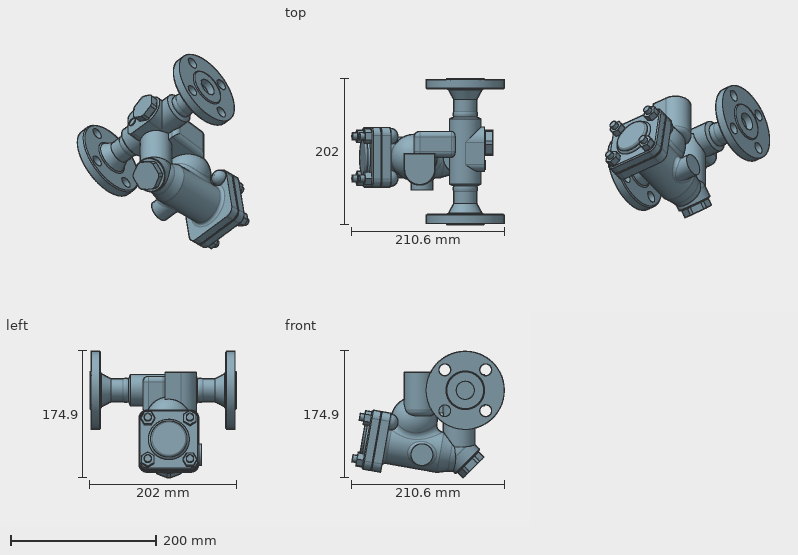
import cadquery as cq

tee_dia = 44.0
tee_half_length = 47.5
tee_end_chamfer = 2.7
neck_dia = 32.0
bead_dia = 33.7
bead_end = 55.4
neck_end = 71.5
cone_dia = 45.9
cone_end = 84.5
cone_root_dia = 50.0
flange_dia = 108.0
flange_back = 86.0
flange_front = 99.3
flange_edge_chamfer = 1.7
face_dia = 53.2
face_front = 101.0
face_chamfer = 1.3
bore_dia = 25.0
bore_depth = 10.5
flange_hole_dia = 16.0
flange_hole_offset = 28.2

side_boss_end = 26.7
side_boss_y = 12.2
side_boss_low_y = -27.8
side_boss_round = 9.7
pin_dia = 12.0
pin_y = -18.5
pin_height = 1.3

side_plug_dia = 38.0
strainer_plug_dia = 40.8
flats_per_dia = 0.92
plug_height = 10.3
plug_gap = 1.0
plug_neck_dia = 32.0

trap_y = -8.0
tilt = 10.0
gasket_x = -122.5
gasket_z = -70.0
gasket_thickness = 1.5
plate_size = 83.0
plate_thickness = 12.5
plate_corner_radius = 11.5
plate_edge_chamfer = 1.7
gasket_inset = 1.7
body_dia = 56.5
body_length = 89.5
body_root_dia = 65.2
body_root_length = 4.5
elbow_dia = 48.0
elbow_along = 103.8
bolt_offset = 29.0
lug_dia = 22.3
lug_end = 24.8
lug_round = 10.5
stud_dia = 10.0
stud_end = 28.6
nut_height = 9.0
nut_across_corners = 19.8
cap_dia = 50.7
cap_root_round = 3.0
cap_edge_round = 2.0
cap_height = 6.5

cover_face = -gasket_thickness / 2 - plate_thickness
flange_rear = -cover_face

dome_x = -70.5
dome_z = -41.0
dome_radius = 32.0
dome_root_round = 9.5

block_x = -63.0
block_dia = 43.0
block_round_y = -24.8
block_back_y = -2.5
block_top = 25.0
block_bottom = -35.8
block_bottom_round = 8.5
block_top_chamfer = 0.8
duct_top = 19.4
duct_bottom = -31.5
duct_end_x = -11.4
duct_back_y = 28.0
duct_edge_round = 7.8

spigot_x = -59.8
spigot_z = -88.8
spigot_dia = 30.0
spigot_end_y = -53.0
spigot_root_round = 5.0

down_pipe_x = -8.5
elbow_z = -86.7
branch_angle = 45.0
branch_dia = 47.4
branch_length = 16.6
branch_chamfer = 0.8


def along_y(shape_on_xy):
    """Turn a shape built up +Z so that it points along +Y."""
    return shape_on_xy.rotate((0, 0, 0), (1, 0, 0), -90)


def pipe_end():
    """One end of the main pipe: half tee, bead, neck, cone, flange and raised face."""
    profile = (
        cq.Workplane("XY")
        .polyline([(0, 0), (tee_dia / 2, 0), (tee_dia / 2, tee_half_length - tee_end_chamfer)])
        .lineTo(neck_dia / 2, tee_half_length)
        .threePointArc((bead_dia / 2, (tee_half_length + bead_end) / 2), (neck_dia / 2, bead_end))
        .lineTo(neck_dia / 2, neck_end)
        .lineTo(cone_dia / 2, cone_end)
        .lineTo(cone_root_dia / 2, flange_back)
        .lineTo(flange_dia / 2 - flange_edge_chamfer, flange_back)
        .lineTo(flange_dia / 2, flange_back + flange_edge_chamfer)
        .lineTo(flange_dia / 2, flange_front)
        .lineTo(face_dia / 2, flange_front)
        .lineTo(face_dia / 2 - face_chamfer, face_front)
        .lineTo(0, face_front)
        .close()
    )
    end = profile.revolve(360, (0, 0, 0), (0, 1, 0))
    bolt_holes = (
        cq.Workplane("XY", origin=(0, 0, flange_back))
        .rect(2 * flange_hole_offset, 2 * flange_hole_offset, forConstruction=True)
        .vertices()
        .circle(flange_hole_dia / 2)
        .extrude(face_front - flange_back)
    )
    bore = cq.Workplane("XY", origin=(0, 0, face_front)).circle(bore_dia / 2).extrude(-bore_depth)
    return end.cut(along_y(bolt_holes)).cut(along_y(bore))


def hex_plug(diameter):
    """A hexagon plug on a short neck, standing on the XY plane and pointing up +Z."""
    head = (
        cq.Workplane("XY", origin=(0, 0, plug_gap))
        .polygon(6, diameter * flats_per_dia, circumscribed=True)
        .extrude(plug_height)
        .rotate((0, 0, 0), (0, 0, 1), 30)
    )
    turned = cq.Workplane("XY").circle(diameter / 2).extrude(plug_gap + plug_height)
    neck = cq.Workplane("XY").circle(plug_neck_dia / 2).extrude(plug_gap)
    return head.intersect(turned).union(neck)


def side_boss():
    """Plug boss with one full-round end and one end with rounded corners."""
    radius = tee_dia / 2
    outline = (
        cq.Workplane("YZ")
        .moveTo(side_boss_y, -radius)
        .threePointArc((side_boss_y + radius, 0), (side_boss_y, radius))
        .lineTo(side_boss_low_y + side_boss_round, radius)
        .radiusArc((side_boss_low_y, radius - side_boss_round), -side_boss_round)
        .lineTo(side_boss_low_y, side_boss_round - radius)
        .radiusArc((side_boss_low_y + side_boss_round, -radius), -side_boss_round)
        .close()
    )
    boss = outline.extrude(side_boss_end)
    plug = hex_plug(side_plug_dia).rotate((0, 0, 0), (0, 1, 0), 90)
    plug = plug.translate((side_boss_end, side_boss_y, 0))
    pin = disc(side_boss_end, pin_dia, pin_height, pin_y)
    return boss.union(plug).union(pin)


def square_plate(start, size, thickness, corner):
    """A square plate across the trap axis, with rounded corners."""
    return (
        cq.Workplane("YZ", origin=(start, 0, 0))
        .rect(size, size)
        .extrude(thickness)
        .edges("|X")
        .fillet(corner)
    )


def disc(start, diameter, length, y=0, z=0):
    """A cylinder along X."""
    return cq.Workplane("YZ", origin=(start, y, z)).circle(diameter / 2).extrude(length)


def tilted(shape):
    """Move a shape from the trap's own axes into place."""
    return shape.rotate((0, 0, 0), (0, 1, 0), tilt).translate((gasket_x, trap_y, gasket_z))


def cap():
    """Round cap on the cover, with a rounded rim and a rounded root."""
    radius = cap_dia / 2
    rim = -cover_face + cap_height
    profile = (
        cq.Workplane("XY")
        .moveTo(cover_face, 0)
        .lineTo(cover_face, radius + cap_root_round)
        .radiusArc((cover_face - cap_root_round, radius), -cap_root_round)
        .lineTo(cap_edge_round - rim, radius)
        .radiusArc((-rim, radius - cap_edge_round), -cap_edge_round)
        .lineTo(-rim, 0)
        .close()
    )
    return profile.revolve(360, (0, 0, 0), (1, 0, 0))


def bolted_cover():
    """Cover, gasket, body flange, lugs, studs and nuts."""
    half_gap = gasket_thickness / 2
    cover = square_plate(cover_face, plate_size, plate_thickness, plate_corner_radius)
    cover = cover.faces("<X").chamfer(plate_edge_chamfer)
    gasket = square_plate(
        -half_gap, plate_size - 2 * gasket_inset, gasket_thickness, plate_corner_radius - gasket_inset
    )
    plate = square_plate(half_gap, plate_size, plate_thickness, plate_corner_radius)
    joint = cover.union(gasket).union(plate).union(cap())

    for side in (-1, 1):
        lug_length = lug_end - flange_rear
        lug = disc(flange_rear, lug_dia, lug_length, side * bolt_offset, bolt_offset)
        joint = joint.union(lug.faces(">X").edges().fillet(lug_round))
        for level in (-1, 1):
            y = side * bolt_offset
            z = level * bolt_offset
            stud = disc(-stud_end, stud_dia, stud_end, y, z)
            nut = (
                cq.Workplane("YZ", origin=(cover_face, y, z))
                .transformed(rotate=(0, 0, 0 if side == level else 30))
                .polygon(6, nut_across_corners)
                .extrude(-nut_height)
            )
            joint = joint.union(stud).union(nut)
    return tilted(joint)


def body_root_and_elbow():
    """Flared root behind the body flange, and the taper to the elbow ball."""
    root_end = flange_rear + body_root_length
    root = (
        cq.Workplane("XY")
        .moveTo(flange_rear, 0)
        .lineTo(flange_rear, body_root_dia / 2)
        .radiusArc((root_end, body_dia / 2), -body_root_length)
        .lineTo(root_end, 0)
        .close()
        .revolve(360, (0, 0, 0), (1, 0, 0))
    )
    taper = (
        cq.Workplane("YZ", origin=(body_length, 0, 0))
        .circle(body_dia / 2)
        .workplane(offset=elbow_along - body_length)
        .circle(elbow_dia / 2)
        .loft()
    )
    ball = cq.Workplane("XY").sphere(elbow_dia / 2).translate((elbow_along, 0, 0))
    return tilted(root.union(taper).union(ball))


def body_with(feature, joint_x, joint_z, blend_radius):
    """Body cylinder with one feature, blended along the joint on the -Y flank of the body."""
    joint_centre = (joint_x, trap_y - body_dia / 2, joint_z)
    body = tilted(disc(0, body_dia, body_length)).union(feature)
    return body.edges(cq.selectors.NearestToPointSelector(joint_centre)).fillet(blend_radius)


def domed_body():
    """Body with the float dome on top."""
    ball = cq.Workplane("XY").sphere(dome_radius).translate((dome_x, trap_y, dome_z))
    return body_with(ball, dome_x, dome_z - dome_radius / 2, dome_root_round)


def spigoted_body():
    """Body with the side spigot."""
    spigot = (
        cq.Workplane("XZ", origin=(spigot_x, trap_y, spigot_z))
        .circle(spigot_dia / 2)
        .extrude(trap_y - spigot_end_y)
    )
    return body_with(spigot, spigot_x, spigot_z, spigot_root_round)


def inlet_block():
    """Upright block with a full-round front, a rounded lower edge and a chamfered top."""
    radius = block_dia / 2
    return (
        cq.Workplane("XY", origin=(block_x, 0, block_bottom))
        .moveTo(-radius, block_back_y)
        .lineTo(-radius, block_round_y)
        .threePointArc((0, block_round_y - radius), (radius, block_round_y))
        .lineTo(radius, block_back_y)
        .close()
        .extrude(block_top - block_bottom)
        .faces("<Z")
        .edges()
        .fillet(block_bottom_round)
        .faces(">Z")
        .chamfer(block_top_chamfer)
    )


def duct():
    """Rounded box from the dome to the main pipe."""
    size = (duct_end_x - dome_x, duct_back_y - trap_y, duct_top - duct_bottom)
    box = cq.Workplane("XY").box(*size, centered=False)
    box = box.edges(">Z or |Z or (>Y and <Z)").fillet(duct_edge_round)
    return box.translate((dome_x, trap_y, duct_bottom))


def down_pipe():
    """Pipe from the main pipe down to the elbow."""
    return (
        cq.Workplane("XY", origin=(down_pipe_x, trap_y, elbow_z)).circle(tee_dia / 2).extrude(-elbow_z)
    )


def strainer_branch():
    """Slanting branch below the elbow, closed by a hexagon plug."""
    branch = cq.Workplane("XY").circle(branch_dia / 2).extrude(branch_length)
    branch = branch.faces(">Z").chamfer(branch_chamfer)
    plug = hex_plug(strainer_plug_dia).translate((0, 0, branch_length))
    branch = branch.union(plug).union(cq.Workplane("XY").sphere(branch_dia / 2))
    branch = branch.rotate((0, 0, 0), (0, 1, 0), 90 + branch_angle)
    return branch.translate((down_pipe_x, trap_y, elbow_z))


far_end = pipe_end()
near_end = far_end.mirror("XZ")
result = far_end.union(near_end).union(side_boss())
features = (
    domed_body(),
    spigoted_body(),
    body_root_and_elbow(),
    bolted_cover(),
    inlet_block(),
    duct(),
    down_pipe(),
    strainer_branch(),
)
for feature in features:
    result = result.union(feature)